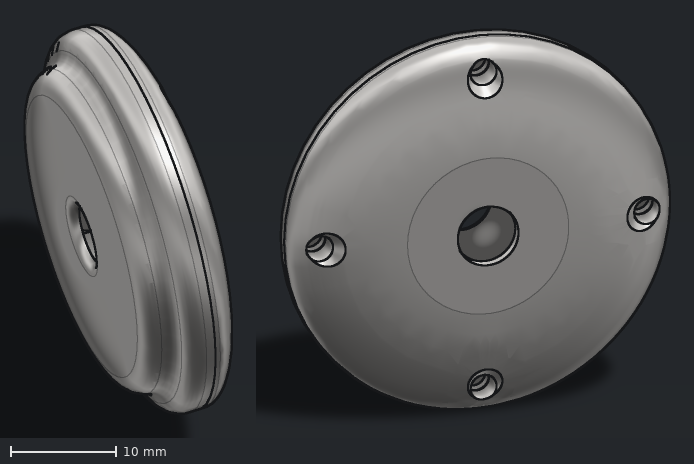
import cadquery as cq
import math

outer_radius = 19.0
thickness = 10.0
parting_y = 5.95

dome_flat_radius = 7.98
dome_height = 3.55

shoulder_start_y = 5.05
shoulder_end = (17.48, 3.1)
neck_end = (16.1, 1.65)
front_flat_radius = 14.0
front_edge_radius = 2.25

bore_radius = 6.0 / 2
bore_mouth_radius = 1.0

screw_count = 4
screw_circle_radius = 16.2
cover_hole_diameter = 2.6
housing_hole_diameter = 2.5
housing_hole_depth = 1.15
countersink_depth = 1.52
countersink_angle = 45.0

chamber_radius = 26.0 / 2
front_wall = bore_mouth_radius
back_wall = front_wall

slot_width = 2.35
slot_window_inner_radius = 16.0
slot_floor_outer_radius = 18.4
slot_roof_y = 2.0
slot_floor_y = 4.4
slot_lip_rise = 0.3
slot_angle = 135.0


def revolve_about_y(profile):
    return profile.close().revolve(360, (0, 0, 0), (0, 1, 0))


def y_cylinder(radius, start_y, length, x=0.0, z=0.0):
    return cq.Workplane(cq.Solid.makeCylinder(radius, length, cq.Vector(x, start_y, z), cq.Vector(0, 1, 0)))


def screw_positions():
    for index in range(screw_count):
        angle = math.radians(360 * index / screw_count)
        yield screw_circle_radius * math.cos(angle), screw_circle_radius * math.sin(angle)


def make_slot_cutter():
    """Radial section of the slot, extruded across its width and turned into place."""
    section = [
        (0, slot_floor_y),
        (0, slot_roof_y),
        (slot_window_inner_radius, slot_roof_y),
        (slot_window_inner_radius, 0),
        (outer_radius, 0),
        (outer_radius, slot_floor_y + slot_lip_rise),
        (slot_floor_outer_radius, slot_floor_y),
    ]
    cutter = cq.Workplane("XY").polyline(section).close().extrude(slot_width / 2, both=True)
    return cutter.rotate((0, 0, 0), (0, 1, 0), slot_angle)


def make_housing():
    housing = revolve_about_y(
        cq.Workplane("XY")
        .moveTo(bore_radius, parting_y)
        .lineTo(outer_radius, parting_y)
        .lineTo(outer_radius, shoulder_start_y)
        .tangentArcPoint(shoulder_end, relative=False)
        .tangentArcPoint(neck_end, relative=False)
        .radiusArc((front_flat_radius, 0), front_edge_radius)
        .lineTo(bore_radius + bore_mouth_radius, 0)
        .radiusArc((bore_radius, bore_mouth_radius), bore_mouth_radius)
    )
    housing = housing.cut(y_cylinder(chamber_radius, front_wall, parting_y - front_wall))
    housing = housing.cut(make_slot_cutter())
    hole_bottom_y = parting_y - housing_hole_depth
    for x, z in screw_positions():
        housing = housing.cut(y_cylinder(housing_hole_diameter / 2, hole_bottom_y, housing_hole_depth, x, z))
    return housing


def make_cover_recess():
    """Half-ellipsoid hollow under the dome."""
    return revolve_about_y(
        cq.Workplane("XY")
        .moveTo(0, parting_y)
        .lineTo(chamber_radius, parting_y)
        .ellipseArc(chamber_radius, thickness - back_wall - parting_y, 0, 90)
    )


def make_cover():
    cover = revolve_about_y(
        cq.Workplane("XY")
        .moveTo(bore_radius, parting_y)
        .lineTo(outer_radius, parting_y)
        .lineTo(outer_radius, thickness - dome_height)
        .ellipseArc(outer_radius - dome_flat_radius, dome_height, 0, 90)
        .lineTo(bore_radius, thickness)
    )
    cover = cover.cut(make_cover_recess())
    hole_radius = cover_hole_diameter / 2
    cone_start_y = thickness - countersink_depth
    cone_top_radius = hole_radius + countersink_depth * math.tan(math.radians(countersink_angle))
    for x, z in screw_positions():
        cone = cq.Solid.makeCone(
            hole_radius, cone_top_radius, countersink_depth, cq.Vector(x, cone_start_y, z), cq.Vector(0, 1, 0)
        )
        cover = cover.cut(y_cylinder(hole_radius, parting_y, thickness - parting_y, x, z))
        cover = cover.cut(cq.Workplane(cone))
    return cover


housing = make_housing()
cover = make_cover()
result = cq.Compound.makeCompound([housing.val(), cover.val()])